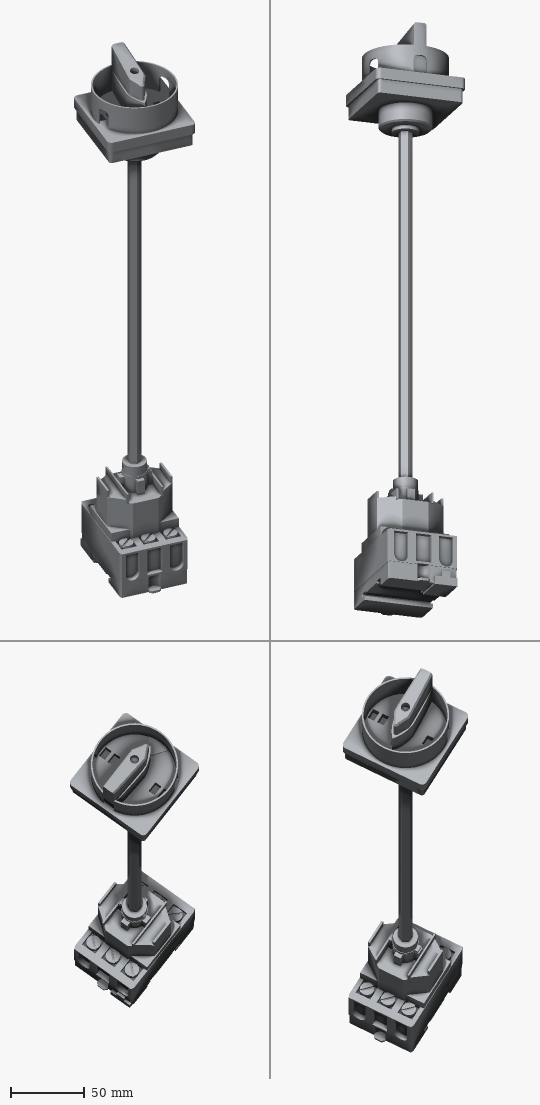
import cadquery as cq
import math


TOTAL_HEIGHT = 408.3
OVERALL_X = 77.3
PLATE_SIDE = 64.92

BASE_X = 72.8
BASE_Y = 50.6
BASE_BOTTOM = 1.2
BASE_TOP = 37.0
SPLIT_Z = 13.4
UPPER_CORNER_X = 2.5
UPPER_CORNER_Y = 1.0
LOWER_INSET = 0.5
LOWER_INSET_Y = 0.3

RAIL_HALF_OPEN = 13.5
RAIL_HALF_WIDE = 18.3
RAIL_LIP_TOP = 4.2
RAIL_TOP = 6.8
RAIL_PAD_HALF = 10.3
RAIL_PAD_BOTTOM = 5.5

CLIP_Y_CENTER = -16.0
CLIP_WIDTH = 16.4
CLIP_THICKNESS = 1.2
CLIP_END_X = -14.0
CLIP_HEAD_X = -37.8
CLIP_HEAD_TOP = 6.0
CLIP_STEM_WIDTH = 6.4
CLIP_STEM_TOP = 10.4
HOOK_THICKNESS = 2.0
HOOK_TOP = 4.4
TONGUE_THICKNESS = 1.8
TONGUE_END_THICKNESS = 1.4
TAB_WIDTH = 8.8
TAB_THICKNESS = 1.8
TAB_CHAMFER = 1.8
TAB_ROOT_X = 30.0

TERMINAL_PITCH = 16.4
WIRE_SLOT_WIDTH = 10.2
WIRE_SLOT_BOTTOM = 14.0
CENTER_SLOT_WIDTH = 11.2
CENTER_SLOT_BOTTOM = 15.6
SLOT_TOP = 35.5
SLOT_DEPTH = 4.0
TAB_RECESS_TOP = 14.0
WELL_SIDE = 11.4
WELL_DEPTH = 3.0
SCREW_X = 24.8
SCREW_DIAMETER = 9.91
SCREW_TOP = 38.2
SCREW_SLOT_WIDTH = 1.6
SCREW_SLOT_DEPTH = 1.2

SKIRT_X = 38.0
SKIRT_Y = 50.0
SKIRT_TOP = 44.0
TOWER_X = 40.6
TOWER_Y = 48.4
TOWER_FACE = 19.0
TOWER_TOP = 67.6
DECK_Z = 65.2
DECK_HALF_Y = 12.2
RIM_TOP = 72.8
END_WALL_THICKNESS = 1.6
RIDGE_LENGTH = 38.4
RIDGE_THICKNESS = 1.2

NUT_CORE_DIAMETER = 17.78
NUT_ARM_SPAN = 23.8
NUT_ARM_WIDTH = 5.4
NUT_TOP = 76.4
SLEEVE_DIAMETER = 16.97
SLEEVE_TOP = 86.0
SLEEVE_BAND_TOP = 78.4
SLEEVE_BAND_DIAMETER = 17.65
LUG_REACH = 11.0
LUG_WIDTH = 5.0
SET_SCREW_DIAMETER = 2.88
SET_SCREW_Z = 82.2
SET_SCREW_DEPTH = 3.0
SHAFT_ACROSS_CORNERS = 9.5

DISC_DIAMETER = 19.0
DISC_BOTTOM = 338.0
COLLAR_BOTTOM = 340.6
COLLAR_DIAMETER = 37.0
COLLAR_LOWER_CHAMFER = 1.2
LOWER_PLATE_BOTTOM = 353.8
LOWER_PLATE_SIDE = 62.0
LOWER_PLATE_RADIUS = 2.2
PLATE_BOTTOM = 363.5
PLATE_TOP = 371.3
PLATE_RADIUS = 3.3

RING_OUTER = 59.77
RING_INNER = 57.48
RING_TOP = 392.0
WINDOW_WIDTH = 9.5
WINDOW_TOP = 384.8
WINDOW_CORNER = 3.5
SIDE_WINDOW_ANGLE = -68.0
POCKET_X = 7.8
POCKET_INNER_Y = 15.0
POCKET_OUTER_Y = 27.5
POCKET_DEPTH = 5.0
POCKET_BAR = 2.4

HANDLE_END_HALF = 4.7
HANDLE_HUB_HALF = 5.9
HANDLE_HUB_START = 0.6
HANDLE_HUB_END = 5.5
HANDLE_NOSE_X = 12.8
HANDLE_NOSE_HALF = 2.0
HANDLE_TIP_X = 15.0
HANDLE_TIP_TOP = 400.8
HANDLE_TOP_CHAMFER = 1.2
FOOT_TOP = 388.0
FOOT_HALF = 7.0
FOOT_WIDEST_X = 2.5
FOOT_MID_X = -13.0
FOOT_MID_HALF = 6.3
FOOT_SHOULDER_X = 10.0
FOOT_SHOULDER_HALF = 5.0
FOOT_TIP_X = 18.5
MARK_TIP_X = 15.5
MARK_END_X = 30.0
MARK_HALF = 9.9
MARK_HEIGHT = 1.0
HUB_HOLE_DIAMETER = 6.4
HUB_HOLE_BOTTOM = 398.0


def block(x0, x1, y0, y1, z0, z1):
    """Box between two opposite corners."""
    return cq.Workplane("XY").box(x1 - x0, y1 - y0, z1 - z0, centered=False).translate((x0, y0, z0))


def centered_block(size_x, size_y, z0, z1):
    return block(-size_x / 2, size_x / 2, -size_y / 2, size_y / 2, z0, z1)


def cylinder(diameter, z0, z1):
    return cq.Workplane("XY").workplane(offset=z0).circle(diameter / 2).extrude(z1 - z0)


def cut_corner_prism(size_x, size_y, cut_x, cut_y, z0, z1):
    """Rectangular prism with its four vertical corners cut off."""
    hx = size_x / 2
    hy = size_y / 2
    outline = [
        (-hx, -hy + cut_y), (-hx + cut_x, -hy), (hx - cut_x, -hy), (hx, -hy + cut_y),
        (hx, hy - cut_y), (hx - cut_x, hy), (-hx + cut_x, hy), (-hx, hy - cut_y),
    ]
    return cq.Workplane("XY").workplane(offset=z0).polyline(outline).close().extrude(z1 - z0)


def both_ends(feature):
    """The feature together with its mirror image at the other X end."""
    return feature.union(feature.mirror("YZ"))


def make_base_body():
    upper = cut_corner_prism(BASE_X, BASE_Y, UPPER_CORNER_X, UPPER_CORNER_Y, SPLIT_Z, BASE_TOP)
    lower = cut_corner_prism(
        BASE_X - 2 * LOWER_INSET, BASE_Y - 2 * LOWER_INSET_Y,
        UPPER_CORNER_X - LOWER_INSET, UPPER_CORNER_Y, BASE_BOTTOM, SPLIT_Z,
    )
    return upper.union(lower)


def make_rail_channel():
    profile = [
        (-RAIL_HALF_WIDE, 0), (RAIL_HALF_OPEN, 0),
        (RAIL_HALF_OPEN, RAIL_LIP_TOP), (RAIL_HALF_WIDE, RAIL_LIP_TOP), (RAIL_HALF_WIDE, RAIL_TOP),
        (RAIL_PAD_HALF, RAIL_TOP), (RAIL_PAD_HALF, RAIL_PAD_BOTTOM),
        (-RAIL_PAD_HALF, RAIL_PAD_BOTTOM), (-RAIL_PAD_HALF, RAIL_TOP), (-RAIL_HALF_WIDE, RAIL_TOP),
    ]
    return cq.Workplane("XZ").polyline(profile).close().extrude(BASE_Y / 2, both=True)


def make_wire_slot(y, width, bottom, rounded):
    """Slot in the -X end of the base, closed at the top by a thin rim."""
    x0 = -BASE_X / 2
    start = bottom + width / 2 if rounded else bottom
    slot = block(x0, x0 + SLOT_DEPTH, y - width / 2, y + width / 2, start, SLOT_TOP)
    if rounded:
        round_end = cq.Workplane("YZ").center(y, start).circle(width / 2).extrude(SLOT_DEPTH)
        slot = slot.union(round_end.translate((x0, 0, 0)))
    return slot


def make_tab_recess():
    """Half-round groove above the screw tab at the -X end."""
    groove = cylinder(TAB_WIDTH, BASE_BOTTOM + TAB_THICKNESS, TAB_RECESS_TOP)
    return groove.translate((-BASE_X / 2, 0, 0))


def make_terminal_cuts():
    cuts = make_wire_slot(0, CENTER_SLOT_WIDTH, CENTER_SLOT_BOTTOM, False).union(make_tab_recess())
    for side in (-1, 1):
        y = side * TERMINAL_PITCH
        cuts = cuts.union(make_wire_slot(y, WIRE_SLOT_WIDTH, WIRE_SLOT_BOTTOM, True))
    for row in (-1, 0, 1):
        well = centered_block(WELL_SIDE, WELL_SIDE, BASE_TOP - WELL_DEPTH, BASE_TOP)
        cuts = cuts.union(well.translate((-SCREW_X, row * TERMINAL_PITCH, 0)))
    return both_ends(cuts)


def make_terminal_screws():
    slot = centered_block(SCREW_SLOT_WIDTH, SCREW_DIAMETER, SCREW_TOP - SCREW_SLOT_DEPTH, SCREW_TOP)
    slot = slot.rotate((0, 0, 0), (0, 0, 1), -45)
    screw = cylinder(SCREW_DIAMETER, BASE_TOP - WELL_DEPTH, SCREW_TOP).cut(slot)
    screws = cq.Workplane("XY")
    for row in (-1, 0, 1):
        screws = screws.add(screw.translate((-SCREW_X, row * TERMINAL_PITCH, 0)))
    return both_ends(screws.combine())


def make_tabs():
    """Fixing tabs at both X ends, with cut outer corners."""
    tab = block(
        -OVERALL_X / 2, -TAB_ROOT_X, -TAB_WIDTH / 2, TAB_WIDTH / 2,
        BASE_BOTTOM, BASE_BOTTOM + TAB_THICKNESS,
    )
    return both_ends(tab.edges("|Z and <X").chamfer(TAB_CHAMFER))


def make_rail_clip():
    y0 = CLIP_Y_CENTER - CLIP_WIDTH / 2
    y1 = CLIP_Y_CENTER + CLIP_WIDTH / 2
    stem_y0 = CLIP_Y_CENTER - CLIP_STEM_WIDTH / 2
    stem_y1 = CLIP_Y_CENTER + CLIP_STEM_WIDTH / 2
    head_back = -BASE_X / 2 + LOWER_INSET
    hook_x = -RAIL_HALF_WIDE + HOOK_THICKNESS
    clip = block(CLIP_HEAD_X, CLIP_END_X, y0, y1, 0, CLIP_THICKNESS)
    clip = clip.union(block(CLIP_HEAD_X, head_back, y0, y1, 0, CLIP_HEAD_TOP))
    clip = clip.union(block(CLIP_HEAD_X, head_back, stem_y0, stem_y1, 0, CLIP_STEM_TOP))
    clip = clip.union(block(-RAIL_HALF_WIDE, hook_x, y0, y1, 0, HOOK_TOP))
    tongue_end = -RAIL_PAD_HALF + TONGUE_END_THICKNESS / 2
    tongue_bottom = HOOK_TOP - TONGUE_THICKNESS
    clip = clip.union(block(hook_x, tongue_end, y0, y1, tongue_bottom, HOOK_TOP))
    return clip.union(block(tongue_end - TONGUE_END_THICKNESS, tongue_end, y0, y1, tongue_bottom, RAIL_TOP))


def make_tower():
    skirt = centered_block(SKIRT_X, SKIRT_Y, BASE_TOP, SKIRT_TOP)
    corner_x = (TOWER_X - TOWER_FACE) / 2
    corner_y = (TOWER_Y - TOWER_FACE) / 2
    column = cut_corner_prism(TOWER_X, TOWER_Y, corner_x, corner_y, BASE_TOP, TOWER_TOP)
    column = column.cut(centered_block(TOWER_X, 2 * DECK_HALF_Y, DECK_Z, TOWER_TOP))
    tower = skirt.union(column)
    for side in (-1, 1):
        wall_y = side * (TOWER_Y - END_WALL_THICKNESS) / 2
        wall = centered_block(TOWER_FACE, END_WALL_THICKNESS, DECK_Z, RIM_TOP)
        ridge_y = side * (DECK_HALF_Y + RIDGE_THICKNESS / 2)
        ridge = centered_block(RIDGE_LENGTH, RIDGE_THICKNESS, DECK_Z, RIM_TOP)
        tower = tower.union(wall.translate((0, wall_y, 0))).union(ridge.translate((0, ridge_y, 0)))
    return tower


def make_coupling():
    nut = cylinder(NUT_CORE_DIAMETER, DECK_Z, NUT_TOP)
    nut = nut.union(centered_block(NUT_ARM_SPAN, NUT_ARM_WIDTH, DECK_Z, NUT_TOP))
    nut = nut.union(centered_block(NUT_ARM_WIDTH, NUT_ARM_SPAN, DECK_Z, NUT_TOP))
    sleeve = cylinder(SLEEVE_DIAMETER, NUT_TOP, SLEEVE_TOP)
    sleeve = sleeve.union(cylinder(SLEEVE_BAND_DIAMETER, NUT_TOP, SLEEVE_BAND_TOP))
    lug = block(-LUG_WIDTH / 2, LUG_WIDTH / 2, 0, LUG_REACH, NUT_TOP, SLEEVE_BAND_TOP)
    set_screw = cq.Workplane("XZ").center(0, SET_SCREW_Z).circle(SET_SCREW_DIAMETER / 2)
    set_screw = set_screw.extrude(SET_SCREW_DEPTH)
    set_screw = set_screw.translate((0, SET_SCREW_DEPTH - SLEEVE_DIAMETER / 2, 0))
    return nut.union(sleeve).union(lug).cut(set_screw)


def make_shaft():
    shaft = cq.Workplane("XY").workplane(offset=SLEEVE_TOP).polygon(6, SHAFT_ACROSS_CORNERS)
    return shaft.extrude(DISC_BOTTOM - SLEEVE_TOP)


def make_plate():
    collar = cylinder(COLLAR_DIAMETER, COLLAR_BOTTOM, LOWER_PLATE_BOTTOM)
    collar = collar.faces("<Z").chamfer(COLLAR_LOWER_CHAMFER)
    lower = centered_block(LOWER_PLATE_SIDE, LOWER_PLATE_SIDE, LOWER_PLATE_BOTTOM, PLATE_BOTTOM)
    upper = centered_block(PLATE_SIDE, PLATE_SIDE, PLATE_BOTTOM, PLATE_TOP)
    plate = lower.edges("|Z").fillet(LOWER_PLATE_RADIUS).union(upper.edges("|Z").fillet(PLATE_RADIUS))
    return plate.union(collar).union(cylinder(DISC_DIAMETER, DISC_BOTTOM, COLLAR_BOTTOM))


def make_padlock_pocket(side):
    """Pocket in the plate beside the handle, crossed by a bar level with the plate."""
    middle = (POCKET_INNER_Y + POCKET_OUTER_Y) / 2
    length = POCKET_OUTER_Y - POCKET_INNER_Y
    pocket = centered_block(POCKET_X, length, PLATE_TOP - POCKET_DEPTH, PLATE_TOP)
    bar = centered_block(POCKET_X, POCKET_BAR, PLATE_TOP - POCKET_DEPTH, PLATE_TOP)
    return pocket.cut(bar).translate((0, side * middle, 0))


def make_ring():
    return cylinder(RING_OUTER, PLATE_TOP, RING_TOP).cut(cylinder(RING_INNER, PLATE_TOP, RING_TOP))


def make_window(angle):
    """Arched opening through the ring wall at an angle from +X."""
    half = WINDOW_WIDTH / 2
    wall_start = RING_INNER / 2 * math.cos(math.asin(WINDOW_WIDTH / RING_INNER))
    window = block(wall_start, RING_OUTER / 2, -half, half, PLATE_TOP, WINDOW_TOP)
    window = window.edges("|X and >Z").fillet(WINDOW_CORNER)
    return window.rotate((0, 0, 0), (0, 0, 1), angle)


def make_handle_foot():
    """Lower part of the handle: bulging sides that run out to a pointed tip."""
    end_x = -RING_OUTER / 2
    foot = (
        cq.Workplane("XY").workplane(offset=PLATE_TOP)
        .moveTo(end_x, -HANDLE_END_HALF)
        .threePointArc((FOOT_MID_X, -FOOT_MID_HALF), (FOOT_WIDEST_X, -FOOT_HALF))
        .threePointArc((FOOT_SHOULDER_X, -FOOT_SHOULDER_HALF), (FOOT_TIP_X, 0))
        .threePointArc((FOOT_SHOULDER_X, FOOT_SHOULDER_HALF), (FOOT_WIDEST_X, FOOT_HALF))
        .threePointArc((FOOT_MID_X, FOOT_MID_HALF), (end_x, HANDLE_END_HALF))
        .close().extrude(FOOT_TOP - PLATE_TOP)
    )
    return foot.intersect(cylinder(RING_OUTER, PLATE_TOP, FOOT_TOP))


def make_position_mark():
    """Low raised triangle on the plate, facing the tip of the handle and ending at the ring."""
    outline = [(MARK_TIP_X, 0), (MARK_END_X, -MARK_HALF), (MARK_END_X, MARK_HALF)]
    mark = cq.Workplane("XY").workplane(offset=PLATE_TOP).polyline(outline).close()
    inside_ring = cylinder(RING_INNER, PLATE_TOP, PLATE_TOP + MARK_HEIGHT)
    return mark.extrude(MARK_HEIGHT).intersect(inside_ring)


def make_handle():
    end_x = -RING_OUTER / 2
    blade = (
        cq.Workplane("XY").workplane(offset=PLATE_TOP)
        .moveTo(end_x, -HANDLE_END_HALF)
        .lineTo(HANDLE_HUB_START, -HANDLE_HUB_HALF)
        .lineTo(HANDLE_HUB_END, -HANDLE_HUB_HALF)
        .lineTo(HANDLE_NOSE_X, -HANDLE_NOSE_HALF)
        .threePointArc((HANDLE_TIP_X, 0), (HANDLE_NOSE_X, HANDLE_NOSE_HALF))
        .lineTo(HANDLE_HUB_END, HANDLE_HUB_HALF)
        .lineTo(HANDLE_HUB_START, HANDLE_HUB_HALF)
        .lineTo(end_x, HANDLE_END_HALF)
        .close().extrude(TOTAL_HEIGHT - PLATE_TOP)
    )
    side_outline = [
        (end_x, PLATE_TOP), (HANDLE_TIP_X, PLATE_TOP),
        (HANDLE_TIP_X, HANDLE_TIP_TOP), (end_x, TOTAL_HEIGHT),
    ]
    side_profile = cq.Workplane("XZ").polyline(side_outline).close()
    blade = blade.intersect(side_profile.extrude(HANDLE_HUB_HALF, both=True))
    blade = blade.faces(">Z").edges("not(<X)").chamfer(HANDLE_TOP_CHAMFER)
    blade = blade.intersect(cylinder(RING_OUTER, PLATE_TOP, TOTAL_HEIGHT))
    handle = blade.union(make_handle_foot())
    return handle.cut(cylinder(HUB_HOLE_DIAMETER, HUB_HOLE_BOTTOM, TOTAL_HEIGHT))


base = make_base_body().cut(make_rail_channel()).cut(make_terminal_cuts())
base = base.union(make_terminal_screws()).union(make_tabs()).union(make_rail_clip())
lower_unit = base.union(make_tower()).union(make_coupling())

front_plate = make_plate().cut(make_padlock_pocket(-1)).cut(make_padlock_pocket(1))
head = front_plate.union(make_ring()).union(make_handle()).union(make_position_mark())
for window_angle in (180, SIDE_WINDOW_ANGLE, SIDE_WINDOW_ANGLE + 180):
    head = head.cut(make_window(window_angle))

result = lower_unit.union(make_shaft()).union(head)